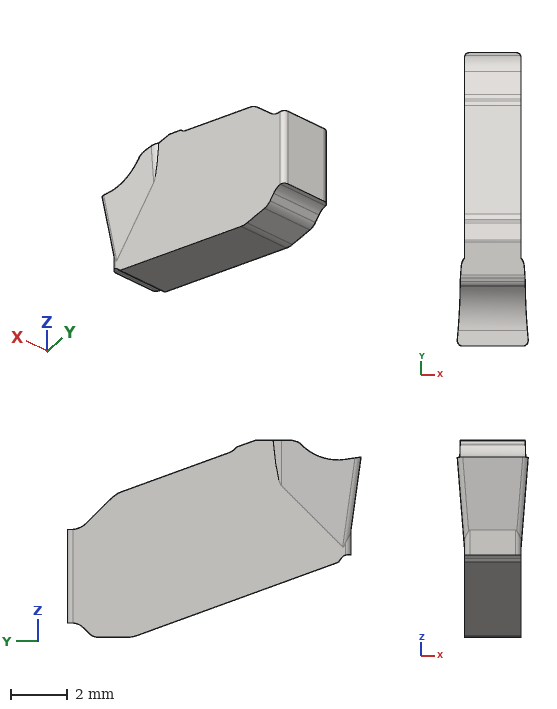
import cadquery as cq
import math

LENGTH = 10.32
HEIGHT = 6.93
SHANK_WIDTH = 2.0
HEAD_WIDTH = 2.5
OVERSIZE = 4.0

SEAT_SLOPE = math.tan(math.radians(20))
TOP_SEAT_HEIGHT = 8.18
BOTTOM_SEAT_END_Y = 8.04

EDGE_HEIGHT = 6.34
RAKE_SLOPE = 0.15
GROOVE_ROOT_Y = 1.452
GROOVE_RADIUS = 1.8
CREST_BREAK_Y = 2.19
CREST_FRONT_Y = 2.445
CREST_BEVEL_DROP = 0.07
CREST_RADIUS = 0.35
CREST_BACK_Y = 3.70

STEP_TOP_Y = 4.37
STEP_BOTTOM_Y = 4.53
STEP_RADIUS = 0.2
STEP_ROOT_RADIUS = 0.5

TAIL_TOP_HEIGHT = 3.79
TAIL_BOTTOM_HEIGHT = 0.50
TAIL_RAMP_FOOT_Y = 9.875
TAIL_RAMP_RADIUS = 0.8
SHOULDER_START_Y = 8.535
SHOULDER_END_Y = 8.77
SHOULDER_START_RADIUS = 0.58
SHOULDER_END_RADIUS = 1.6
HEEL_Y = 9.42
HEEL_RADIUS = 0.45
TAIL_NOTCH_RADIUS = 0.55
BOTTOM_SEAT_RADIUS = 1.0

SHANK_FRONT_Y = 0.355
FOOT_HEIGHT = 2.90
FOOT_STEP_TOP_Y = 0.61
FOOT_STEP_BOTTOM_Y = 0.80
FOOT_RADIUS = 0.12
FOOT_ROOT_RADIUS = 0.3

CORNER_RADIUS = 0.2
RELIEF_SLOPE = 0.138
HEAD_BASE_HEIGHT = 3.0
HEAD_BACK_Y = 3.31
HEAD_BACK_RADIUS = 0.55
FLANK_RUNOUT = 2.53
FLANK_WIDEST_Y = 0.24


def top_seat(y):
    return TOP_SEAT_HEIGHT - SEAT_SLOPE * y


def tail_ramp(y):
    return TAIL_TOP_HEIGHT + TAIL_RAMP_FOOT_Y - y


def rounded_outline(corners):
    """Closed YZ wire through (y, z, radius) corners; radius 0 keeps a corner sharp."""
    wire = None
    count = len(corners)
    for i in range(count):
        y, z, radius = corners[i]
        corner = cq.Vector(y, z)
        before = (cq.Vector(*corners[i - 1][:2]) - corner).normalized()
        after = (cq.Vector(*corners[(i + 1) % count][:2]) - corner).normalized()
        half_angle = before.getAngle(after) / 2
        setback = radius / math.tan(half_angle)
        start = corner + before * setback
        end = corner + after * setback
        bisector = (before + after).normalized()
        middle = corner + bisector * (radius / math.sin(half_angle) - radius)
        if wire is None:
            wire = cq.Workplane("YZ").moveTo(start.x, start.y)
        else:
            wire = wire.lineTo(start.x, start.y)
        if radius > 0:
            wire = wire.threePointArc((middle.x, middle.y), (end.x, end.y))
    return wire.close()


def side_profile():
    """Full side outline, with a plain vertical front below the cutting edge."""
    foot_step_bottom = SEAT_SLOPE * (BOTTOM_SEAT_END_Y - FOOT_STEP_BOTTOM_Y)
    tail_notch_y = HEEL_Y + TAIL_BOTTOM_HEIGHT
    step_top = top_seat(STEP_BOTTOM_Y) + STEP_BOTTOM_Y - STEP_TOP_Y
    return rounded_outline([
        (0, EDGE_HEIGHT, 0),
        (GROOVE_ROOT_Y, EDGE_HEIGHT - RAKE_SLOPE * GROOVE_ROOT_Y, GROOVE_RADIUS),
        (CREST_BREAK_Y, HEIGHT - CREST_BEVEL_DROP, CREST_RADIUS),
        (CREST_FRONT_Y, HEIGHT, CREST_RADIUS),
        (CREST_BACK_Y, HEIGHT, STEP_RADIUS),
        (STEP_TOP_Y, step_top, STEP_RADIUS),
        (STEP_BOTTOM_Y, top_seat(STEP_BOTTOM_Y), STEP_ROOT_RADIUS),
        (SHOULDER_START_Y, top_seat(SHOULDER_START_Y), SHOULDER_START_RADIUS),
        (SHOULDER_END_Y, tail_ramp(SHOULDER_END_Y), SHOULDER_END_RADIUS),
        (TAIL_RAMP_FOOT_Y, TAIL_TOP_HEIGHT, TAIL_RAMP_RADIUS),
        (LENGTH, TAIL_TOP_HEIGHT, 0),
        (LENGTH, TAIL_BOTTOM_HEIGHT, 0),
        (tail_notch_y, TAIL_BOTTOM_HEIGHT, TAIL_NOTCH_RADIUS),
        (HEEL_Y, 0, HEEL_RADIUS),
        (BOTTOM_SEAT_END_Y, 0, BOTTOM_SEAT_RADIUS),
        (FOOT_STEP_BOTTOM_Y, foot_step_bottom, FOOT_RADIUS),
        (FOOT_STEP_TOP_Y, FOOT_HEIGHT, FOOT_ROOT_RADIUS),
        (0, FOOT_HEIGHT, 0),
    ])


def shank_envelope():
    """Upright block with rounded vertical corners that bounds the shank."""
    block = cq.Workplane("XY").box(
        SHANK_WIDTH, LENGTH - SHANK_FRONT_Y, HEIGHT + OVERSIZE, centered=(True, False, False)
    )
    return block.edges("|Z").fillet(CORNER_RADIUS).translate((0, SHANK_FRONT_Y, -OVERSIZE / 2))


def head_envelope():
    """Wedge with relieved front and tapering flanks that bounds the head."""
    top = HEIGHT + OVERSIZE
    slab = (
        cq.Workplane("YZ")
        .polyline([
            (RELIEF_SLOPE * (EDGE_HEIGHT - HEAD_BASE_HEIGHT), HEAD_BASE_HEIGHT),
            (RELIEF_SLOPE * (EDGE_HEIGHT - top), top),
            (HEAD_BACK_Y, top),
            (HEAD_BACK_Y, HEAD_BASE_HEIGHT),
        ])
        .close()
        .extrude(HEAD_WIDTH, both=True)
    )
    runout_to_widest = (EDGE_HEIGHT - FLANK_WIDEST_Y - FLANK_RUNOUT) / math.sqrt(2)
    flank_slope = (HEAD_WIDTH - SHANK_WIDTH) / 2 / runout_to_widest
    reach = LENGTH
    half_low = SHANK_WIDTH / 2 - flank_slope * reach
    half_high = SHANK_WIDTH / 2 + flank_slope * reach
    across = cq.Plane(origin=(0, 0, FLANK_RUNOUT), xDir=(1, 0, 0), normal=(0, -1, -1))
    taper = (
        cq.Workplane(across)
        .polyline([(-half_low, -reach), (half_low, -reach), (half_high, reach), (-half_high, reach)])
        .close()
        .extrude(2 * LENGTH, both=True)
    )
    wedge = slab.intersect(taper)
    front_corners = wedge.faces("<Y").edges("<X or >X")
    wedge = front_corners.fillet(CORNER_RADIUS)
    back_corners = wedge.faces(">Y").edges("<X or >X")
    return back_corners.fillet(HEAD_BACK_RADIUS)


profile = side_profile().extrude(HEAD_WIDTH, both=True)
shank = profile.intersect(shank_envelope())
head = profile.intersect(head_envelope())
result = shank.union(head)